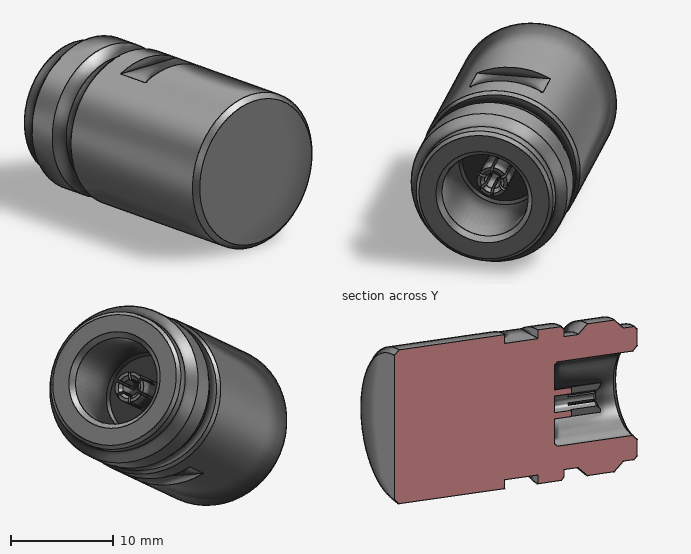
import cadquery as cq

LENGTH = 26.5
BODY_RADIUS = 7.9

SLEEVE_RADIUS = 6.85
SLEEVE_CHAMFER = 0.35
COLLAR_RADIUS = 7.8
COLLAR_START = 2.52
COLLAR_END = 5.45
COLLAR_SLOPE_LENGTH = 1.0

BODY_START = 7.98
BODY_FRONT_CHAMFER = 0.32
BODY_REAR_CHAMFER = 0.5
FLAT_START = 10.87
FLAT_END = 14.45
FLAT_DISTANCE = 7.0

MOUTH_RADIUS = 4.8
BORE_RADIUS = 4.3
BORE_FLOOR_RADIUS = 4.0
BORE_DEPTH = 9.01
MOUTH_CHAMFER = MOUTH_RADIUS - BORE_RADIUS
FLOOR_TAPER_LENGTH = BORE_RADIUS - BORE_FLOOR_RADIUS

CONTACT_RADIUS = 1.5
CONTACT_TIP = 3.98
CONTACT_BORE_RADIUS = 0.82
CONTACT_MOUTH_RADIUS = 1.17
CONTACT_MOUTH_CHAMFER = CONTACT_MOUTH_RADIUS - CONTACT_BORE_RADIUS
SLOT_WIDTH = 0.25
SLOT_COUNT = 3
SLOT_DEPTH = 3.18


def revolve_about_x(points):
    """Revolve a closed (x, radius) outline about the connector axis."""
    return cq.Workplane("XY").polyline(points).close().revolve(360, (0, 0, 0), (1, 0, 0))


def outer_shell():
    return revolve_about_x([
        (0, 0),
        (0, SLEEVE_RADIUS - SLEEVE_CHAMFER),
        (SLEEVE_CHAMFER, SLEEVE_RADIUS),
        (COLLAR_START - COLLAR_SLOPE_LENGTH, SLEEVE_RADIUS),
        (COLLAR_START, COLLAR_RADIUS),
        (COLLAR_END, COLLAR_RADIUS),
        (COLLAR_END + COLLAR_SLOPE_LENGTH, SLEEVE_RADIUS),
        (BODY_START, SLEEVE_RADIUS),
        (BODY_START, BODY_RADIUS - BODY_FRONT_CHAMFER),
        (BODY_START + BODY_FRONT_CHAMFER, BODY_RADIUS),
        (LENGTH - BODY_REAR_CHAMFER, BODY_RADIUS),
        (LENGTH, BODY_RADIUS - BODY_REAR_CHAMFER),
        (LENGTH, 0),
    ])


def socket_bore():
    return revolve_about_x([
        (0, 0),
        (0, MOUTH_RADIUS),
        (MOUTH_CHAMFER, BORE_RADIUS),
        (BORE_DEPTH - FLOOR_TAPER_LENGTH, BORE_RADIUS),
        (BORE_DEPTH, BORE_FLOOR_RADIUS),
        (BORE_DEPTH, 0),
    ])


def wrench_flat_cuts():
    """Two slabs that leave parallel flats above and below the axis."""
    slab_height = BODY_RADIUS - FLAT_DISTANCE
    slab = cq.Workplane("XY").box(FLAT_END - FLAT_START, 2 * BODY_RADIUS, slab_height)
    flat_middle = (FLAT_START + FLAT_END) / 2
    upper = slab.translate((flat_middle, 0, FLAT_DISTANCE + slab_height / 2))
    return upper.union(upper.mirror("XY"))


def centre_contact():
    """Hollow pin rising from the bore floor, slit into spring fingers."""
    contact = revolve_about_x([
        (CONTACT_TIP, CONTACT_MOUTH_RADIUS),
        (CONTACT_TIP, CONTACT_RADIUS),
        (BORE_DEPTH, CONTACT_RADIUS),
        (BORE_DEPTH, CONTACT_BORE_RADIUS),
        (CONTACT_TIP + CONTACT_MOUTH_CHAMFER, CONTACT_BORE_RADIUS),
    ])
    slot = cq.Workplane("XY").box(SLOT_DEPTH, SLOT_WIDTH, 2 * CONTACT_RADIUS)
    slot = slot.translate((CONTACT_TIP + SLOT_DEPTH / 2, 0, 0))
    for index in range(SLOT_COUNT):
        angle = index * 180 / SLOT_COUNT
        contact = contact.cut(slot.rotate((0, 0, 0), (1, 0, 0), angle))
    return contact


result = outer_shell().cut(wrench_flat_cuts()).cut(socket_bore()).union(centre_contact())